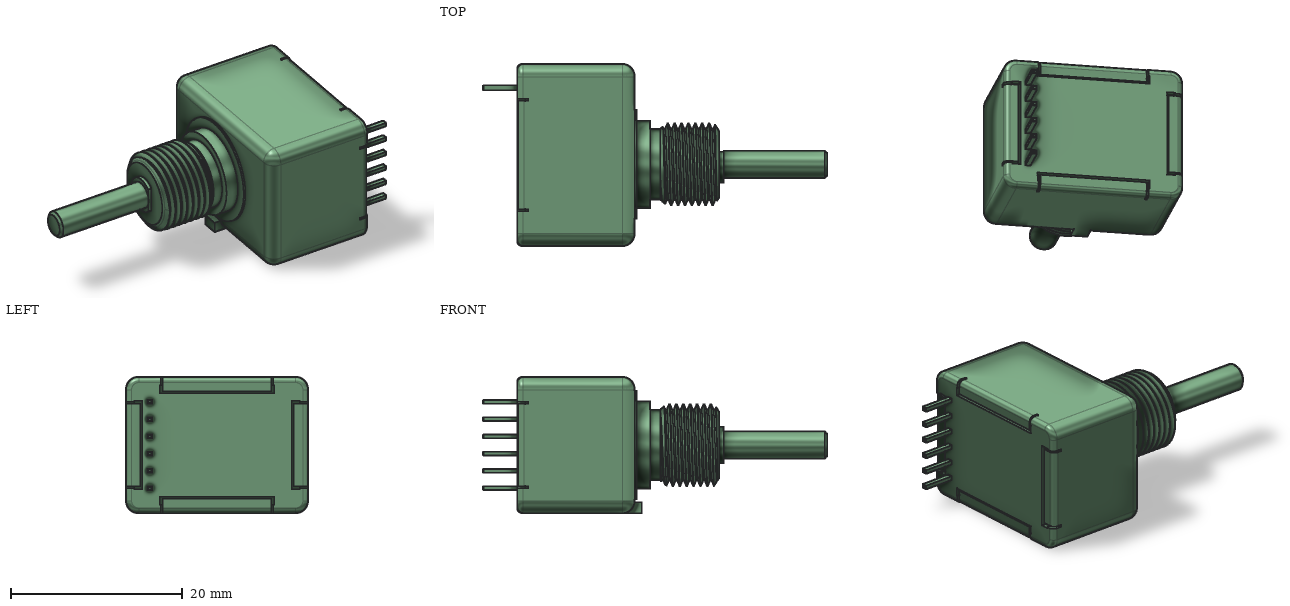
import cadquery as cq
import math

TOTAL_LENGTH = 40.1

housing_length = 13.68
housing_width = 21.2
housing_height = 15.9
housing_center_y = 1.1
side_edge_radius = 1.5
front_edge_radius = 1.45
back_edge_radius = 0.65

wide_panel_half_width = 6.3
tall_panel_half_width = 4.77
panel_reach = 1.7
panel_setback = 0.12
wall_thickness = 0.95
slot_width = 0.25
inner_slot_width = 0.35
slot_depth = 1.3
groove_depth = 0.95

pin_count = 6
pin_pitch = 2.0
pin_length = 4.0
pin_width = 0.6
pin_height = 0.5
pin_tip_chamfer = 0.12
pin_above_center = 7.82
pin_y = housing_center_y + pin_above_center
pin_embed = 0.4

lug_length = 0.85
lug_height = 1.3
lug_width = 2.0
lug_embed = 3.2

flange_radius = 6.35
flange_end = 13.9
collar_radius = 5.1
collar_end = 15.5
neck_radius = 4.15
neck_end = 16.65
bushing_end = 23.55

core_radius = 4.17
thread_radius = 4.77
thread_pitch = 0.8
thread_crest_x = 17.73
thread_base_width = 0.7
thread_crest_width = 0.1
thread_root_embed = 0.12
lead_in_length = 0.8
run_out_length = 0.65
run_out_radius = 3.8

shaft_radius = 1.6
shaft_end = TOTAL_LENGTH - pin_length
shaft_chamfer = 0.32
clip_radius = 2.13
clip_end = 24.03
clip_flat_y = 1.5


def cylinder(radius, start, end):
    return cq.Workplane("YZ").workplane(offset=start).circle(radius).extrude(end - start)


def back_block(y_range, z_range, depth):
    """A box from the back face into the housing."""
    width = y_range[1] - y_range[0]
    height = z_range[1] - z_range[0]
    return (
        cq.Workplane("XY")
        .box(depth, width, height, centered=False)
        .translate((0, y_range[0], z_range[0]))
    )


def panel_cut(half_width, side_distance):
    """U-shaped groove around the +Z panel of a housing whose top side is at Z = side_distance."""
    bar_outside = side_distance - panel_reach
    bar_inside = bar_outside - slot_width
    wall_inside = side_distance - wall_thickness
    outer_half_width = half_width + inner_slot_width

    cut = back_block((-outer_half_width, outer_half_width), (bar_inside, bar_outside), groove_depth)
    for side in (-1, 1):
        inner_leg = sorted((side * half_width, side * outer_half_width))
        outer_leg = sorted((side * half_width, side * (half_width + slot_width)))
        cut = cut.union(back_block(inner_leg, (bar_inside, wall_inside), groove_depth))
        cut = cut.union(back_block(outer_leg, (wall_inside, side_distance), slot_depth))
    return cut


def panel_tongue(half_width, side_distance):
    """Space inside the U, and the round-edged tongue that fills it set back from the back face."""
    void = back_block((-half_width, half_width), (side_distance - panel_reach, side_distance), slot_depth)
    tongue = (
        void.translate((panel_setback, 0, 0))
        .edges("<X and >Z")
        .fillet(back_edge_radius)
    )
    return void, tongue


def make_housing():
    housing = (
        cq.Workplane("XY")
        .box(housing_length, housing_width, housing_height, centered=(False, True, True))
        .edges("|X").fillet(side_edge_radius)
        .faces(">X").edges().fillet(front_edge_radius)
        .faces("<X").edges().fillet(back_edge_radius)
    )
    x_axis = ((0, 0, 0), (1, 0, 0))
    panels = (
        (0, wide_panel_half_width, housing_height / 2),
        (90, tall_panel_half_width, housing_width / 2),
        (180, wide_panel_half_width, housing_height / 2),
        (270, tall_panel_half_width, housing_width / 2),
    )
    for angle, half_width, side_distance in panels:
        groove = panel_cut(half_width, side_distance)
        void, tongue = panel_tongue(half_width, side_distance)
        housing = housing.cut(groove.rotate(*x_axis, angle))
        housing = housing.cut(void.rotate(*x_axis, angle))
        housing = housing.union(tongue.rotate(*x_axis, angle))
    return housing.translate((0, housing_center_y, 0))


def make_pins():
    pin = (
        cq.Workplane("XY")
        .box(pin_length + pin_embed, pin_width, pin_height, centered=(False, True, True))
        .faces("<X").chamfer(pin_tip_chamfer)
        .translate((-pin_length, pin_y, 0))
    )
    pins = cq.Workplane("XY")
    for index in range(pin_count):
        z = (index - (pin_count - 1) / 2) * pin_pitch
        pins = pins.add(pin.translate((0, 0, z)))
    return pins


def make_lug():
    return (
        cq.Workplane("XY")
        .box(lug_length + lug_embed, lug_width, lug_height, centered=(False, True, False))
        .translate((housing_length - lug_embed, 0, -housing_height / 2))
    )


def make_thread():
    """Right-handed helical ridge that runs past both ends of the threaded length."""
    turns_before = math.ceil((thread_crest_x - neck_end) / thread_pitch) + 1
    start_x = thread_crest_x - turns_before * thread_pitch
    length = bushing_end + thread_pitch - start_x
    root_radius = core_radius - thread_root_embed

    helix = cq.Wire.makeHelix(thread_pitch, length, root_radius)
    return (
        cq.Workplane("XZ")
        .moveTo(root_radius, -thread_base_width / 2)
        .lineTo(thread_radius, -thread_crest_width / 2)
        .lineTo(thread_radius, thread_crest_width / 2)
        .lineTo(root_radius, thread_base_width / 2)
        .close()
        .sweep(cq.Workplane(helix), isFrenet=True)
        .rotate((0, 0, 0), (0, 1, 0), 90)
        .rotate((0, 0, 0), (1, 0, 0), 180)
        .translate((start_x, 0, 0))
    )


def tapered_blank(radius):
    """Solid of the threaded length, limited to a radius and tapered at both ends."""
    lead_in_slope = (thread_radius - neck_radius) / lead_in_length
    run_out_slope = (thread_radius - run_out_radius) / run_out_length
    return (
        cq.Workplane("XY")
        .moveTo(neck_end, 0)
        .lineTo(neck_end, neck_radius)
        .lineTo(neck_end + (radius - neck_radius) / lead_in_slope, radius)
        .lineTo(bushing_end - (radius - run_out_radius) / run_out_slope, radius)
        .lineTo(bushing_end, run_out_radius)
        .lineTo(bushing_end, 0)
        .close()
        .revolve(360, (0, 0, 0), (1, 0, 0))
    )


def make_bushing():
    ridge = make_thread().intersect(tapered_blank(thread_radius + thread_root_embed))
    core = tapered_blank(core_radius)
    threaded = core.union(ridge)
    steps = (
        cylinder(flange_radius, housing_length - side_edge_radius, flange_end)
        .union(cylinder(collar_radius, flange_end, collar_end))
        .union(cylinder(neck_radius, collar_end, neck_end))
    )
    return steps.union(threaded)


def make_shaft():
    """Shaft with a retaining clip that is cut flat on its +Y side."""
    shaft = cylinder(shaft_radius, clip_end, shaft_end).faces(">X").chamfer(shaft_chamfer)
    flat = (
        cq.Workplane("XY")
        .box(clip_end - bushing_end, clip_radius, 2 * clip_radius, centered=(False, False, True))
        .translate((bushing_end, clip_flat_y, 0))
    )
    clip = cylinder(clip_radius, bushing_end, clip_end).cut(flat)
    return shaft.union(clip)


result = make_housing().union(make_lug()).union(make_bushing()).union(make_shaft())
for pin in make_pins().vals():
    result = result.union(cq.Workplane(pin))